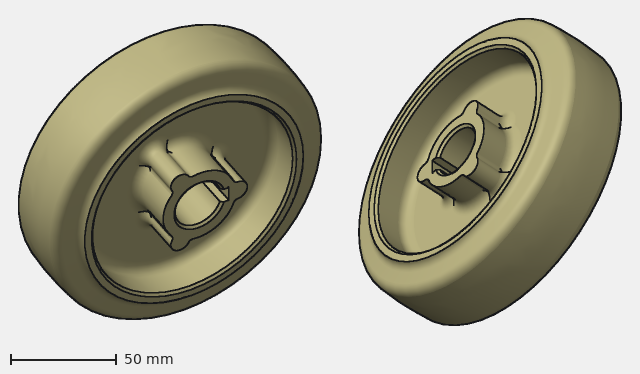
import cadquery as cq
import math


tyre_radius = 75.0
rim_radius = 60.0
half_width = 22.5
tread_half_width = 14.0
tread_edge_radius = 74.4
shoulder_x = 18.5
shoulder_radius = 69.9
foot_x = 19.4
foot_radius = 63.9

rim_inner_radius = 54.9
rim_chamfer = 1.4
web_half_thickness = 3.0
web_fillet = 5.2

boss_radius = 20.0
boss_near_x = -half_width
boss_far_x = 27.6
bore_radius = 12.6
bore_chamfer = 1.4
keyway_width = 8.0
keyway_depth = 16.0

lobe_count = 3
lobe_distance = 21.0
lobe_radius = 5.2
lobe_blend = 2.5


def revolve_about_x(profile):
    return profile.close().revolve(360, (0, 0, 0), (1, 0, 0))


def make_tyre():
    """Crowned tread, rounded shoulders and sidewalls that flare out to the rim edge."""
    shoulder = (shoulder_x, shoulder_radius)
    foot = (foot_x, foot_radius)
    wall_rise = (shoulder_x - foot_x, shoulder_radius - foot_radius)
    wall_fall = (-wall_rise[0], -wall_rise[1])
    tread_edge = cq.Vector(tread_half_width, tread_edge_radius)
    crown = cq.Edge.makeThreePointArc(
        cq.Vector(-tread_half_width, tread_edge_radius), cq.Vector(0, tyre_radius), tread_edge
    )
    shoulder_arc = cq.Edge.makeTangentArc(cq.Vector(*shoulder), cq.Vector(*wall_rise), tread_edge)
    wall = cq.Edge.makeLine(cq.Vector(*shoulder), cq.Vector(*foot))
    flare = cq.Edge.makeTangentArc(
        cq.Vector(*foot), cq.Vector(*wall_fall), cq.Vector(half_width, rim_radius)
    )
    seat = cq.Edge.makeLine(cq.Vector(-half_width, rim_radius), cq.Vector(half_width, rim_radius))
    side = [shoulder_arc, wall, flare]
    other_side = [edge.mirror("YZ") for edge in side]
    outline = cq.Wire.combine([crown, seat, *side, *other_side])[0]
    return cq.Workplane(cq.Solid.revolve(outline, [], 360, cq.Vector(0, 0, 0), cq.Vector(1, 0, 0)))


def make_rim_recess():
    """Space between rim and web on the -X side, with chamfered mouth and rounded floor."""
    wall_end_x = -web_half_thickness - web_fillet
    floor_radius = rim_inner_radius - web_fillet
    profile = (
        cq.Workplane("XY")
        .moveTo(-half_width, 0)
        .lineTo(-half_width, rim_inner_radius + rim_chamfer)
        .lineTo(-half_width + rim_chamfer, rim_inner_radius)
        .lineTo(wall_end_x, rim_inner_radius)
        .radiusArc((-web_half_thickness, floor_radius), web_fillet)
        .lineTo(-web_half_thickness, 0)
    )
    return revolve_about_x(profile)


def make_boss_post(radius):
    """Post along the axis, flared by a fillet where it meets each side of the web."""
    flare_x = web_half_thickness + web_fillet
    flare_radius = radius + web_fillet
    profile = (
        cq.Workplane("XY")
        .moveTo(boss_near_x, 0)
        .lineTo(boss_near_x, radius)
        .lineTo(-flare_x, radius)
        .radiusArc((-web_half_thickness, flare_radius), -web_fillet)
        .lineTo(web_half_thickness, flare_radius)
        .radiusArc((flare_x, radius), -web_fillet)
        .lineTo(boss_far_x, radius)
        .lineTo(boss_far_x, 0)
    )
    return revolve_about_x(profile)


def make_blended_core():
    """Boss outline with its lobes, the inner corners between them rounded."""
    length = boss_far_x - boss_near_x
    end_plane = cq.Workplane("YZ", origin=(boss_near_x, 0, 0))
    core = end_plane.circle(boss_radius).extrude(length)
    lobes = end_plane.polarArray(lobe_distance, 0, 360, lobe_count).circle(lobe_radius).extrude(length)
    crossing_along = (lobe_distance**2 + boss_radius**2 - lobe_radius**2) / (2 * lobe_distance)
    crossing_angle = math.degrees(math.acos(crossing_along / boss_radius))
    core = core.union(lobes)
    middle_x = (boss_near_x + boss_far_x) / 2
    for index in range(lobe_count):
        for side in (-1, 1):
            angle = math.radians(index * 360 / lobe_count + side * crossing_angle)
            corner = (middle_x, boss_radius * math.cos(angle), boss_radius * math.sin(angle))
            core = core.edges(cq.selectors.NearestToPointSelector(corner)).fillet(lobe_blend)
    return core


def make_bore():
    """Through bore with chamfered ends and one keyway on the +Y side."""
    mouth_radius = bore_radius + bore_chamfer
    profile = (
        cq.Workplane("XY")
        .moveTo(boss_near_x, 0)
        .lineTo(boss_near_x, mouth_radius)
        .lineTo(boss_near_x + bore_chamfer, bore_radius)
        .lineTo(boss_far_x - bore_chamfer, bore_radius)
        .lineTo(boss_far_x, mouth_radius)
        .lineTo(boss_far_x, 0)
    )
    keyway = cq.Workplane("XY").box(
        boss_far_x - boss_near_x, keyway_depth, keyway_width, centered=(False, False, True)
    )
    return revolve_about_x(profile).union(keyway.translate((boss_near_x, 0, 0)))


def make_hub():
    rim = cq.Workplane("YZ", origin=(-half_width, 0, 0)).circle(rim_radius).extrude(2 * half_width)
    recess = make_rim_recess()
    hub = rim.cut(recess).cut(recess.mirror("YZ"))
    hub = hub.union(make_blended_core()).union(make_boss_post(boss_radius))
    lobe = make_boss_post(lobe_radius).translate((0, lobe_distance, 0))
    for index in range(lobe_count):
        hub = hub.union(lobe.rotate((0, 0, 0), (1, 0, 0), index * 360 / lobe_count))
    return hub.cut(make_bore())


tyre = make_tyre()
hub = make_hub()

result = cq.Compound.makeCompound([tyre.val(), hub.val()])